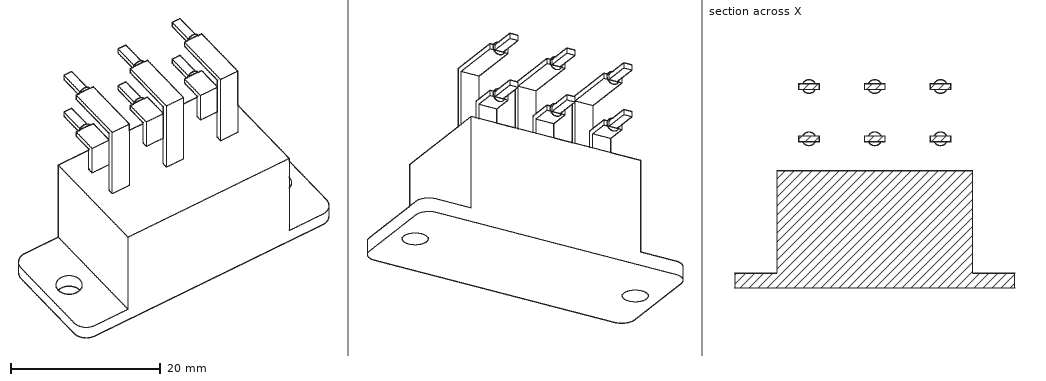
import cadquery as cq

housing_width = 16.5
block_length = 26.2
block_top = 15.75
flange_length = 41.0
flange_thickness = 2.03
flange_corner_radius = 2.0
hole_diameter = 3.5
hole_spacing = 34.0

row_pitch = 8.8
row_count = 3
strip_width = 2.8
strip_thickness = 0.8
upper_strip_center_z = 27.0
lower_strip_center_z = 20.0
upper_bend_x = 8.55
lower_bend_x = 3.8

collar_diameter = 1.86
collar_thickness = 0.06
tail_width = 1.28
tail_length = 3.95


def make_housing():
    flange = (
        cq.Workplane("XY")
        .center(housing_width / 2, 0)
        .rect(housing_width, flange_length)
        .extrude(flange_thickness)
        .edges("|Z")
        .fillet(flange_corner_radius)
    )
    block = (
        cq.Workplane("XY")
        .center(housing_width / 2, 0)
        .rect(housing_width, block_length)
        .extrude(block_top)
    )
    holes = (
        cq.Workplane("XY")
        .center(housing_width / 2, 0)
        .pushPoints([(0, -hole_spacing / 2), (0, hole_spacing / 2)])
        .circle(hole_diameter / 2)
        .extrude(flange_thickness)
    )
    return flange.union(block).cut(holes)


def make_terminal(bend_x, center_z, row_y):
    """L-shaped strip rising from the block top and turning toward -X."""
    strip_top = center_z + strip_thickness / 2
    strip_bottom = center_z - strip_thickness / 2
    strip = (
        cq.Workplane("XZ", origin=(0, row_y, 0))
        .moveTo(0, strip_bottom)
        .lineTo(bend_x - strip_thickness, strip_bottom)
        .lineTo(bend_x - strip_thickness, block_top)
        .lineTo(bend_x, block_top)
        .lineTo(bend_x, strip_top)
        .lineTo(0, strip_top)
        .close()
        .extrude(strip_width / 2, both=True)
    )
    end_plane = cq.Workplane("YZ", origin=(0, row_y, center_z))
    collar = end_plane.circle(collar_diameter / 2).extrude(-collar_thickness)
    tail = end_plane.rect(tail_width, strip_thickness).extrude(-(collar_thickness + tail_length))
    return strip.union(collar).union(tail)


housing = make_housing()
for row in range(row_count):
    row_y = (row - (row_count - 1) / 2) * row_pitch
    housing = housing.union(make_terminal(lower_bend_x, lower_strip_center_z, row_y))
    housing = housing.union(make_terminal(upper_bend_x, upper_strip_center_z, row_y))

result = cq.Compound.makeCompound([housing.val()])